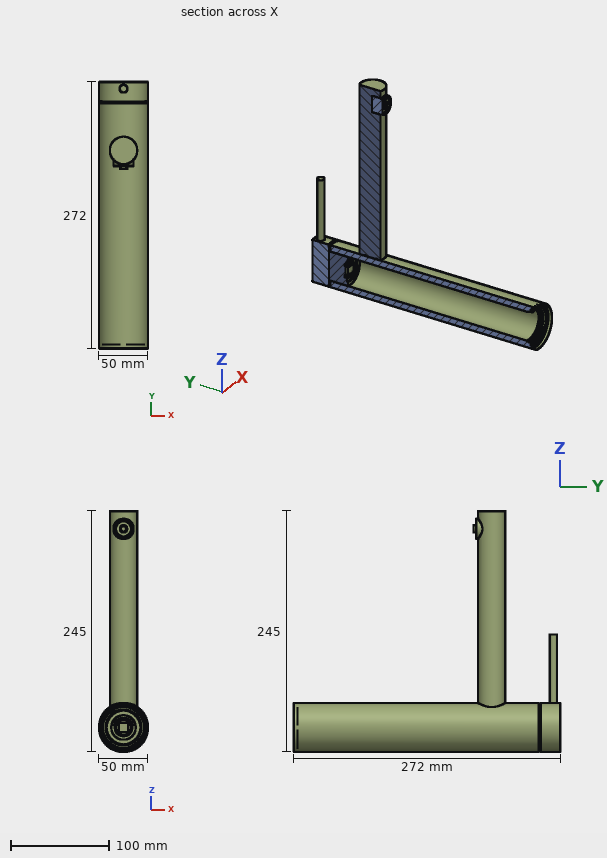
import cadquery as cq

OVERALL_LENGTH = 272.0
BARREL_DIAMETER = 50.0
EDGE_CHAMFER = 0.8

CAP_LENGTH = 20.0
NECK_GAP = 1.5
NECK_RADIUS = 22.3

MOUTH_RADIUS = 24.0
MOUTH_DEPTH = 4.4
RABBET_RADIUS = 22.5
RABBET_DEPTH = 5.5
SEAT_RADIUS = 21.0
SEAT_DEPTH = 7.3
COLLAR_RADIUS = 18.2
COLLAR_DEPTH = 9.8
STEP_RADIUS = 17.7
STEP_DEPTH = 12.0
BORE_RADIUS = 17.1

SEAL_RADIUS = 19.5
SEAL_SECTION_RADIUS = 1.4

CARTRIDGE_LENGTH = 21.8
CARTRIDGE_POCKET_RADIUS = 12.5
CARTRIDGE_POCKET_DEPTH = 1.0
CARTRIDGE_RECESS_RADIUS = 9.0
CARTRIDGE_RECESS_DEPTH = 4.0
STEM_WIDTH = 9.5
STEM_COLLAR_RADIUS = 7.3
STEM_COLLAR_DEPTH = 3.0
RELIEF_INNER_RADIUS = 9.8
RELIEF_DEPTH = 1.4
RELIEF_FLOOR_HEIGHT = 2.7

RISER_DIAMETER = 28.0
RISER_Y = 201.8
RISER_TOP = 220.0

LEVER_DIAMETER = 7.5
LEVER_SOCKET_DIAMETER = 8.2
LEVER_SOCKET_DEPTH = 4.0
LEVER_Y = 264.7
LEVER_TOP = 94.7

OUTLET_DROP = 18.0
OUTLET_DIAMETER = 20.7
OUTLET_PROJECTION = 2.2
OUTLET_CHAMFER = 0.8
OUTLET_DEPTH = 13.5
OUTLET_BORE_DIAMETER = 15.5
OUTLET_BORE_DEPTH = 1.0
NOZZLE_DIAMETER = 7.5
NOZZLE_PROJECTION = 4.5
NOZZLE_BORE_DIAMETER = 5.5

BARREL_RADIUS = BARREL_DIAMETER / 2
CAP_Y = OVERALL_LENGTH - CAP_LENGTH
BARREL_LENGTH = CAP_Y - NECK_GAP
CARTRIDGE_Y = BARREL_LENGTH - CARTRIDGE_LENGTH
RISER_FRONT_Y = RISER_Y - RISER_DIAMETER / 2
OUTLET_Z = RISER_TOP - OUTLET_DROP
OUTLET_FACE_Y = RISER_FRONT_Y - OUTLET_PROJECTION
OUTLET_BACK_Y = OUTLET_FACE_Y + OUTLET_DEPTH
OUTLET_FLOOR_Y = OUTLET_FACE_Y + OUTLET_BORE_DEPTH


def cylinder_y(radius, start, end, z=0.0):
    """Cylinder along Y from start to end, at height z; the XZ plane faces -Y, so the sign is reversed."""
    return cq.Workplane("XZ", origin=(0, start, z)).circle(radius).extrude(start - end)


def cylinder_z(radius, y, bottom, top):
    """Upright cylinder at the given Y, from bottom to top."""
    return cq.Workplane("XY", origin=(0, y, bottom)).circle(radius).extrude(top - bottom)


def make_barrel():
    """Outer tube with a stepped bore that narrows from the mouth."""
    barrel = cylinder_y(BARREL_RADIUS, 0, BARREL_LENGTH).edges().chamfer(EDGE_CHAMFER)
    for radius, depth in (
        (MOUTH_RADIUS, MOUTH_DEPTH),
        (RABBET_RADIUS, RABBET_DEPTH),
        (SEAT_RADIUS, SEAT_DEPTH),
        (COLLAR_RADIUS, COLLAR_DEPTH),
        (STEP_RADIUS, STEP_DEPTH),
        (BORE_RADIUS, BARREL_LENGTH),
    ):
        barrel = barrel.cut(cylinder_y(radius, 0, depth))
    return barrel


def make_seal():
    """Round-section ring resting on the seat inside the mouth."""
    seal_y = SEAT_DEPTH - SEAL_SECTION_RADIUS
    section = cq.Workplane("XY").center(SEAL_RADIUS, seal_y).circle(SEAL_SECTION_RADIUS)
    return section.revolve(360, (-SEAL_RADIUS, 0), (-SEAL_RADIUS, 1))


def make_cartridge():
    """Plug in the far end of the bore, with a neck that fills the gap up to the cap."""
    cartridge = cylinder_y(BORE_RADIUS, CARTRIDGE_Y, BARREL_LENGTH)
    cartridge = cartridge.union(cylinder_y(NECK_RADIUS, BARREL_LENGTH, CAP_Y))
    pocket_floor = CARTRIDGE_Y + CARTRIDGE_POCKET_DEPTH
    cartridge = cartridge.cut(cylinder_y(CARTRIDGE_POCKET_RADIUS, CARTRIDGE_Y, pocket_floor))
    relief = cq.Workplane(cq.Solid.makeCone(
        CARTRIDGE_POCKET_RADIUS,
        RELIEF_INNER_RADIUS,
        RELIEF_DEPTH,
        cq.Vector(0, pocket_floor, 0),
        cq.Vector(0, 1, 0),
    ))
    upper_part = cq.Workplane("XY", origin=(0, pocket_floor, RELIEF_FLOOR_HEIGHT))
    upper_part = upper_part.rect(BARREL_DIAMETER, BARREL_DIAMETER).extrude(BARREL_RADIUS)
    cartridge = cartridge.cut(relief.intersect(upper_part))
    recess_floor = CARTRIDGE_Y + CARTRIDGE_RECESS_DEPTH
    collar_face = CARTRIDGE_Y + STEM_COLLAR_DEPTH
    cartridge = cartridge.cut(cylinder_y(CARTRIDGE_RECESS_RADIUS, CARTRIDGE_Y, recess_floor))
    collar = cylinder_y(STEM_COLLAR_RADIUS, collar_face, recess_floor)
    stem_base = cq.Workplane("XZ", origin=(0, collar_face, 0)).rect(STEM_WIDTH, STEM_WIDTH)
    stem = stem_base.extrude(STEM_COLLAR_DEPTH)
    return cartridge.union(collar).union(stem)


def make_cap():
    """End cap with a socket for the lever."""
    cap = cylinder_y(BARREL_RADIUS, CAP_Y, OVERALL_LENGTH).faces(">Y").edges().chamfer(EDGE_CHAMFER)
    floor = BARREL_RADIUS - LEVER_SOCKET_DEPTH
    return cap.cut(cylinder_z(LEVER_SOCKET_DIAMETER / 2, LEVER_Y, floor, BARREL_RADIUS))


def make_lever():
    """Upright rod standing in the cap socket."""
    return cylinder_z(LEVER_DIAMETER / 2, LEVER_Y, BARREL_RADIUS - LEVER_SOCKET_DEPTH, LEVER_TOP)


def make_riser():
    """Upright spout saddled on the barrel, with a pocket for the outlet."""
    riser = cylinder_z(RISER_DIAMETER / 2, RISER_Y, 0, RISER_TOP)
    riser = riser.cut(cylinder_y(BARREL_RADIUS, 0, BARREL_LENGTH))
    return riser.cut(cylinder_y(OUTLET_DIAMETER / 2, OUTLET_FACE_Y, OUTLET_BACK_Y, OUTLET_Z))


def make_outlet():
    """Outlet housing with a shallow recess in its front face."""
    outlet = cylinder_y(OUTLET_DIAMETER / 2, OUTLET_FACE_Y, OUTLET_BACK_Y, OUTLET_Z)
    outlet = outlet.faces("<Y").edges().chamfer(OUTLET_CHAMFER)
    return outlet.cut(cylinder_y(OUTLET_BORE_DIAMETER / 2, OUTLET_FACE_Y, OUTLET_FLOOR_Y, OUTLET_Z))


def make_nozzle():
    """Tube projecting from the outlet recess."""
    tip_y = RISER_FRONT_Y - NOZZLE_PROJECTION
    nozzle = cylinder_y(NOZZLE_DIAMETER / 2, tip_y, OUTLET_FLOOR_Y, OUTLET_Z)
    return nozzle.cut(cylinder_y(NOZZLE_BORE_DIAMETER / 2, tip_y, OUTLET_FLOOR_Y, OUTLET_Z))


barrel = make_barrel()
seal = make_seal()
cartridge = make_cartridge()
cap = make_cap()
lever = make_lever()
riser = make_riser()
outlet = make_outlet()
nozzle = make_nozzle()

result = cq.Compound.makeCompound([
    barrel.val(),
    seal.val(),
    cartridge.val(),
    cap.val(),
    lever.val(),
    riser.val(),
    outlet.val(),
    nozzle.val(),
])